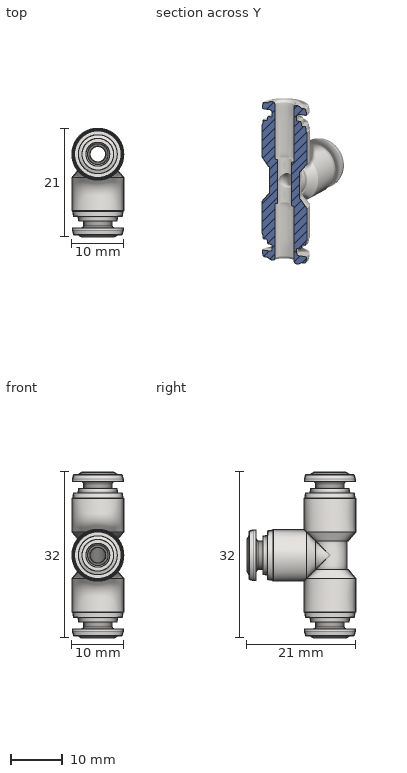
import cadquery as cq


arm_length = 16.0
waist_end = 2.75
body_start = 4.5
body_edge_start = 10.9
body_edge_end = 11.0
shoulder_end = 12.0
collar_end = 12.9
flange_start = 14.2
flange_taper_start = 14.7
flange_edge_start = 15.45
flange_end = 15.6

waist_radius = 3.35
cone_small_radius = 3.55
body_radius = 10.0 / 2
shoulder_base_radius = 4.85
shoulder_tip_radius = 4.7
collar_base_radius = 3.85
collar_tip_radius = 3.68
neck_radius = 5.5 / 2
flange_radius = 9.8 / 2
flange_edge_radius = 4.7
flange_face_radius = 4.5
nose_base_radius = 3.75
nose_tip_radius = 3.05
neck_fillet = 0.45

passage_radius = 3.0 / 2
tube_radius = 4.0 / 2
mouth_radius = 2.3
mouth_depth = 0.5
tube_stop = body_start

arm_angles = (0, 90, 180)


def make_arm():
    """Turned outside of one arm, along +Z from the centre of the tee."""
    profile = (
        cq.Workplane("XZ")
        .lineTo(waist_radius, 0)
        .lineTo(waist_radius, waist_end)
        .lineTo(cone_small_radius, waist_end)
        .lineTo(body_radius, body_start)
        .lineTo(body_radius, body_edge_start)
        .lineTo(shoulder_base_radius, body_edge_end)
        .lineTo(shoulder_tip_radius, shoulder_end)
        .lineTo(collar_base_radius, shoulder_end)
        .lineTo(collar_tip_radius, collar_end)
        .lineTo(neck_radius, collar_end)
        .lineTo(neck_radius, flange_start - neck_fillet)
        .radiusArc((neck_radius + neck_fillet, flange_start), neck_fillet)
        .lineTo(flange_radius, flange_start)
        .lineTo(flange_radius, flange_taper_start)
        .lineTo(flange_edge_radius, flange_edge_start)
        .lineTo(flange_face_radius, flange_end)
        .lineTo(nose_base_radius, flange_end)
        .lineTo(nose_tip_radius, arm_length)
        .lineTo(0, arm_length)
        .close()
    )
    return profile.revolve(360, (0, 0, 0), (0, 1, 0))


def make_bore():
    """Stepped bore of one arm: passage, tube socket and flared mouth."""
    profile = (
        cq.Workplane("XZ")
        .lineTo(passage_radius, 0)
        .lineTo(passage_radius, tube_stop)
        .lineTo(tube_radius, tube_stop)
        .lineTo(tube_radius, arm_length - mouth_depth)
        .lineTo(mouth_radius, arm_length)
        .lineTo(0, arm_length)
        .close()
    )
    return profile.revolve(360, (0, 0, 0), (0, 1, 0))


def make_tee(arm):
    """Union of one copy of the arm in each direction."""
    tee = cq.Workplane("XY")
    for angle in arm_angles:
        tee = tee.union(arm.rotate((0, 0, 0), (1, 0, 0), angle))
    return tee


result = make_tee(make_arm()).cut(make_tee(make_bore()))